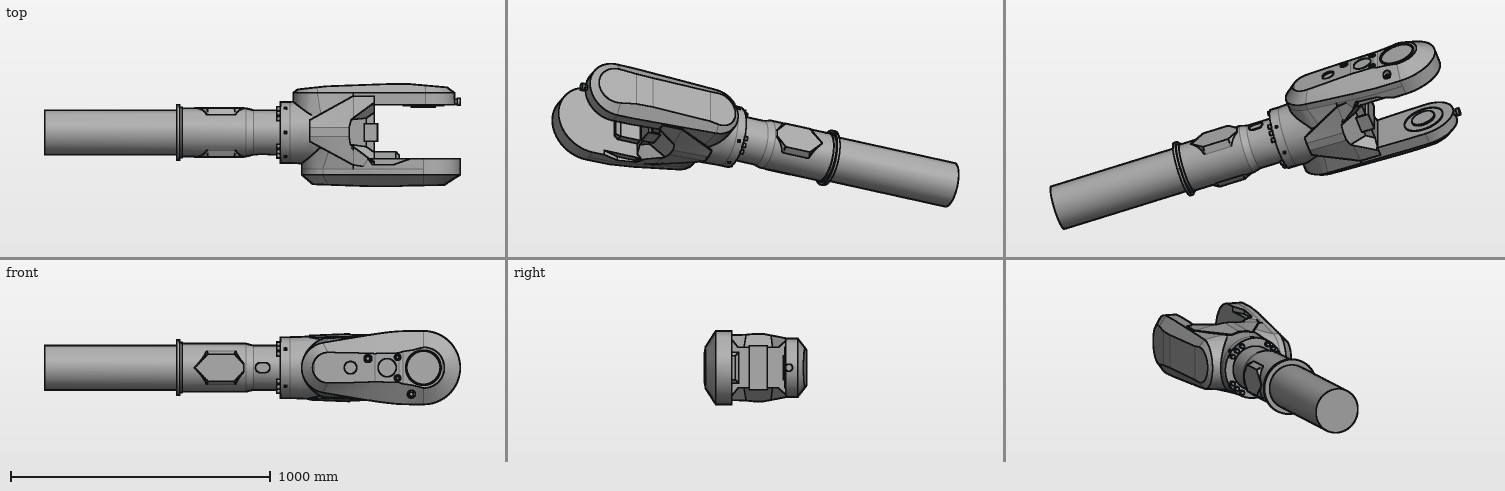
import cadquery as cq
import math


LENGTH = 1599.5
BIG_ARM_OUTER_Y = -208
SMALL_ARM_OUTER_Y = 187

TUBE_R = 86.3
COLLAR_X = 508
COLLAR_T = 11
COLLAR_R = 107
SLEEVE_STEP_T = 10
SLEEVE_STEP_R = 97
SLEEVE_R = 93.5
SLEEVE_END_X = 774
NECK_X = 802
NECK_R = TUBE_R

PAD_FACE_Y = 94.5
PAD_ROOT_Y = 60
PAD_HALF_H = 52
PAD_LEFT_X = 577
PAD_SHOULDER_LEFT_X = 628
PAD_SHOULDER_RIGHT_X = 730
PAD_RIGHT_X = 766
PAD_BLUNT_HALF_H = 14
PAD_TAPER = 25

OVAL_X = 839
OVAL_LENGTH = 56
OVAL_WIDTH = 38
OVAL_FLOOR_Y = 81

FLANGE_X = 907
FLANGE_T = 36
FLANGE_R = 118
BOLT_CIRCLE_R = 105
BOLT_R = 8
BOLT_HEAD_T = 14
BOLT_PITCH_ANGLE = 15
PIN_HOLE_X = 927
PIN_HOLE_R = 5
PIN_HOLE_DEPTH = 12
PIN_SIDE_ANGLE = 37.5

BARREL_END_X = 1080
BARREL_END_R = 124
RIDGE_Y_LOW = -15
RIDGE_Y_HIGH = 20
RIDGE_END_X = 1187
WEB_END_X = 1269
RIDGE_SECTIONS = [
    (1021, 124, (48, 114), (-35, 117)),
    (RIDGE_END_X, 131, (140, 106), (-125, 120)),
    (WEB_END_X, 131, (140, 107), (-137, 125)),
]

SCOOP_OPEN_X = 1166
SCOOP_FLOOR_X = 1238
SCOOP_OPEN_Z = 135
SCOOP_FLOOR_Z = 78
SCOOP_BACK_Y = (-45, 48)
SCOOP_FRONT_Y = (-125, 142)
SCOOP_FLOOR_HALF_W = 55
WEB_FACE_HALF_W = 78

STOP_END_X = 1281
STOP_START_X = 1230
STOP_WIDTH = 68
STOP_HALF_H = 84

BIG_R = 142
JOINT_X = LENGTH - BIG_R
BIG_HEEL_X = 1086
BIG_HEEL_R = 97
BIG_CORNER = (1335, BIG_R)
BIG_INNER_Y = -101
BIG_RIM_Y = -163
BIG_HEEL_RIM_Y = -139
BIG_SLOPE_TOP_Y = BIG_ARM_OUTER_Y - 1
BIG_FACE_HEEL_X = 1094
BIG_FACE_HEEL_R = 52
BIG_FACE_CORNER = (1400, 53)
BIG_FACE_R = 71
BIG_CROWN_PLAN = [
    (BIG_HEEL_X - BIG_HEEL_R, BIG_RIM_Y),
    (BIG_HEEL_X - BIG_HEEL_R, -194),
    (1038, -200),
    (1270, BIG_ARM_OUTER_Y),
    (1362, BIG_ARM_OUTER_Y),
    (1378, -205.5),
    (1530, -203),
    (LENGTH, -200),
    (LENGTH, BIG_RIM_Y),
]

SMALL_R = 113
SMALL_END_X = 1578
SMALL_CENTRE_X = SMALL_END_X - SMALL_R
SMALL_HEEL_X = 1053
SMALL_HEEL_R = 97
SMALL_CORNER = (1400, SMALL_R)
SMALL_INNER_Y = 106
SMALL_RIM_Y = 152
SMALL_SLOPE_TOP_Y = SMALL_ARM_OUTER_Y + 1
SMALL_FACE_HEEL_R = 52
SMALL_FACE_R = 66
SMALL_FACE_CORNER = (1400, SMALL_FACE_R)
SMALL_CROWN_PLAN = [
    (SMALL_HEEL_X - SMALL_HEEL_R, SMALL_RIM_Y),
    (SMALL_HEEL_X - SMALL_HEEL_R, 164),
    (1084, 178),
    (1330, SMALL_ARM_OUTER_Y),
    (1400, SMALL_ARM_OUTER_Y),
    (1558, 173),
    (SMALL_END_X, 171),
    (SMALL_END_X, SMALL_RIM_Y),
]

HEEL_ROOT_Y = 60
BIG_HEEL_GROWTH = 21
SMALL_HEEL_GROWTH = 12

RELIEF_PLAN = [(1244, BIG_INNER_Y), (1262, -124), (1343, -124), (1408, BIG_INNER_Y)]
RELIEF_Z = 122

FACE_HOLE = (1177, 0, 24)
FACE_HOLE_FLOOR_Y = -198
COVER_DISC = (1318, 0, 35)
COVER_DISC_FLOOR_Y = BIG_ARM_OUTER_Y + 1.5
CAP_DISC = (JOINT_X, 0, 68)
GROOVE_W = 4
GROOVE_FLOOR_Y = -202
FACE_SCREWS = [(1244, 35, 15), (1358, 40, 12), (1358, -40, 12)]
FACE_SCREW_FLOOR_Y = -198
SLOPE_SCREW = (1411, -102, 15)
SLOPE_SCREW_FLOOR_Y = -176
SCREW_HEAD_H = 5
SCREW_HEAD_RATIO = 0.55

SEAT_R = 78
SEAT_T = 3
JOURNAL_R = 46
JOURNAL_T = 9

PLUG_Y = 118
PLUG_NECK_R = 10
PLUG_HEAD_R = 14
PLUG_HEAD_X = 1588

BRACKET_END_X = 1365
BRACKET_Y = -74
BRACKET_HALF_H = 60
BRACKET_CHAMFER = 14


def disc(x, radius, thickness):
    """Cylinder along +X, starting at x, on the tube axis."""
    return cq.Workplane("YZ", origin=(x, 0, 0)).circle(radius).extrude(thickness)


def cylinder_y(x, z, radius, y_from, y_to):
    """Cylinder parallel to Y between two Y positions."""
    plane = cq.Plane(origin=(x, y_from, z), xDir=(1, 0, 0), normal=(0, -1, 0))
    return cq.Workplane(plane).circle(radius).extrude(y_from - y_to)


def box(x_range, y_range, z_range):
    """Block given by its limits along X, Y and Z."""
    size = [limits[1] - limits[0] for limits in (x_range, y_range, z_range)]
    corner = (x_range[0], y_range[0], z_range[0])
    return cq.Workplane("XY").box(*size, centered=False).translate(corner)


def pear_wire(y, heel_x, heel_r, corner, end_x, end_r):
    """Pear outline in the plane Y = y.

    A round heel runs tangent into sides that head for the corner (X, Z) and bend there
    to meet the round end.
    """
    corner_x, corner_z = corner
    reach = math.hypot(corner_x - heel_x, corner_z)
    tangent_angle = math.atan2(corner_z, corner_x - heel_x) + math.acos(heel_r / reach)
    tangent_x = heel_x + heel_r * math.cos(tangent_angle)
    tangent_z = heel_r * math.sin(tangent_angle)
    upper_side = [(tangent_x, tangent_z), corner, corner, (end_x, end_r)]
    lower_side = [(x, -z) for x, z in reversed(upper_side)]
    return (
        cq.Workplane("XZ", origin=(0, y, 0))
        .moveTo(tangent_x, -tangent_z)
        .threePointArc((heel_x - heel_r, 0), (tangent_x, tangent_z))
        .bezier(upper_side)
        .threePointArc((end_x + end_r, 0), (end_x, -end_r))
        .bezier(lower_side)
        .wire()
        .val()
    )


def prism(wire, y_travel):
    """Sweep a wire lying in a plane of constant Y along Y."""
    return cq.Workplane(cq.Solid.extrudeLinear(wire, [], cq.Vector(0, y_travel, 0)))


def crown(rim_wire, face_wire, plan_points):
    """Sloping cover between two outlines, trimmed to an outline drawn in the XY plane."""
    slopes = cq.Workplane(cq.Solid.makeLoft([rim_wire, face_wire], True))
    trim = cq.Workplane("XY").polyline(plan_points).close().extrude(BIG_R, both=True)
    return slopes.intersect(trim)


def drafted_heel(rim_wire, root_wire):
    """Heel between an arm's rim and its larger root, kept to the hub end of the arm."""
    heel = cq.Workplane(cq.Solid.makeLoft([rim_wire, root_wire], True))
    return heel.intersect(box((0, RIDGE_END_X), (-LENGTH, LENGTH), (-LENGTH, LENGTH)))


def make_tube():
    tube = disc(0, TUBE_R, COLLAR_X)
    tube = tube.union(disc(COLLAR_X, COLLAR_R, COLLAR_T))
    step_x = COLLAR_X + COLLAR_T
    tube = tube.union(disc(step_x, SLEEVE_STEP_R, SLEEVE_STEP_T))
    tube = tube.union(disc(step_x, SLEEVE_R, SLEEVE_END_X - step_x))
    shoulder = (
        cq.Workplane("YZ", origin=(SLEEVE_END_X, 0, 0))
        .circle(SLEEVE_R)
        .workplane(offset=NECK_X - SLEEVE_END_X)
        .circle(NECK_R)
        .loft()
    )
    return tube.union(shoulder).union(disc(NECK_X, NECK_R, FLANGE_X - NECK_X))


def make_pad():
    """Hexagonal pad on the -Y side whose walls spread towards the sleeve."""
    plane = cq.Workplane("XZ", origin=(0, -PAD_FACE_Y, 0))
    outline = plane.polyline([
        (PAD_LEFT_X, 0),
        (PAD_SHOULDER_LEFT_X, PAD_HALF_H),
        (PAD_SHOULDER_RIGHT_X, PAD_HALF_H),
        (PAD_RIGHT_X, PAD_BLUNT_HALF_H),
        (PAD_RIGHT_X, -PAD_BLUNT_HALF_H),
        (PAD_SHOULDER_RIGHT_X, -PAD_HALF_H),
        (PAD_SHOULDER_LEFT_X, -PAD_HALF_H),
    ]).close()
    return outline.extrude(PAD_ROOT_Y - PAD_FACE_Y, taper=-PAD_TAPER)


def make_oval_pocket():
    return (
        cq.Workplane("XZ", origin=(OVAL_X, -OVAL_FLOOR_Y, 0))
        .slot2D(OVAL_LENGTH, OVAL_WIDTH)
        .extrude(NECK_R)
    )


def make_flange():
    flange = disc(FLANGE_X, FLANGE_R, FLANGE_T)
    for group_angle in (45, 135, 225, 315):
        for step in (-1, 0, 1):
            angle = math.radians(group_angle + step * BOLT_PITCH_ANGLE)
            centre = (0, BOLT_CIRCLE_R * math.cos(angle), BOLT_CIRCLE_R * math.sin(angle))
            bolt = disc(FLANGE_X - BOLT_HEAD_T, BOLT_R, BOLT_HEAD_T + FLANGE_T / 2)
            flange = flange.union(bolt.translate(centre))
    side = PIN_SIDE_ANGLE
    for angle in (90, -90, side, -side, 180 - side, 180 + side):
        pin_hole = (
            cq.Workplane("XZ", origin=(PIN_HOLE_X, -FLANGE_R + PIN_HOLE_DEPTH, 0))
            .circle(PIN_HOLE_R)
            .extrude(FLANGE_R)
            .rotate((0, 0, 0), (1, 0, 0), angle)
        )
        flange = flange.cut(pin_hole)
    return flange


def ridge_wire(x, ridge_z, high_corner, low_corner):
    """Eight sided section of the hub: a flat ridge above and below, sloping to the sides."""
    upper = [high_corner, (RIDGE_Y_HIGH, ridge_z), (RIDGE_Y_LOW, ridge_z), low_corner]
    lower = [(y, -z) for y, z in reversed(upper)]
    return cq.Workplane("YZ", origin=(x, 0, 0)).polyline(upper + lower).close().wire().val()


def make_scoop():
    """Tool that lowers the upper side of the web, wider at the top and towards +X."""
    front_x = WEB_END_X + 1
    opening = [
        (SCOOP_OPEN_X, SCOOP_BACK_Y[0]),
        (SCOOP_OPEN_X, SCOOP_BACK_Y[1]),
        (front_x, SCOOP_FRONT_Y[1]),
        (front_x, SCOOP_FRONT_Y[0]),
    ]
    floor = [
        (SCOOP_FLOOR_X, -SCOOP_FLOOR_HALF_W),
        (SCOOP_FLOOR_X, SCOOP_FLOOR_HALF_W),
        (front_x, WEB_FACE_HALF_W),
        (front_x, -WEB_FACE_HALF_W),
    ]
    return (
        cq.Workplane("XY", origin=(0, 0, SCOOP_FLOOR_Z))
        .polyline(floor)
        .close()
        .workplane(offset=SCOOP_OPEN_Z - SCOOP_FLOOR_Z)
        .polyline(opening)
        .close()
        .loft(ruled=True)
    )


def make_hub():
    barrel_x = FLANGE_X + FLANGE_T
    barrel = (
        cq.Workplane("YZ", origin=(barrel_x, 0, 0))
        .circle(FLANGE_R)
        .workplane(offset=BARREL_END_X - barrel_x)
        .circle(BARREL_END_R)
        .loft()
    )
    wires = [ridge_wire(*section) for section in RIDGE_SECTIONS]
    ridge = cq.Workplane(cq.Solid.makeLoft(wires, True))
    scoop = make_scoop()
    stop = box(
        (STOP_START_X, STOP_END_X),
        (-STOP_WIDTH / 2, STOP_WIDTH / 2),
        (-STOP_HALF_H, STOP_HALF_H),
    )
    return barrel.union(ridge).cut(scoop).cut(scoop.mirror("XY")).union(stop)


def make_big_arm():
    end = (BIG_CORNER, JOINT_X, BIG_R)
    growth = BIG_HEEL_GROWTH
    rim = pear_wire(BIG_RIM_Y, BIG_HEEL_X, BIG_HEEL_R, *end)
    face = pear_wire(
        BIG_SLOPE_TOP_Y, BIG_FACE_HEEL_X, BIG_FACE_HEEL_R, BIG_FACE_CORNER, JOINT_X, BIG_FACE_R
    )
    heel_rim = pear_wire(BIG_HEEL_RIM_Y, BIG_HEEL_X, BIG_HEEL_R, *end)
    heel_root = pear_wire(-HEEL_ROOT_Y, BIG_HEEL_X + growth, BIG_HEEL_R + growth, *end)
    band = prism(rim, BIG_HEEL_RIM_Y - BIG_RIM_Y)
    arm = prism(heel_rim, BIG_INNER_Y - BIG_HEEL_RIM_Y)
    relief = cq.Workplane("XY", origin=(0, 0, RELIEF_Z)).polyline(RELIEF_PLAN).close().extrude(BIG_R)
    arm = arm.cut(relief).cut(relief.mirror("XY")).union(band)
    return arm.union(drafted_heel(heel_rim, heel_root)).union(crown(rim, face, BIG_CROWN_PLAN))


def make_small_arm():
    end = (SMALL_CORNER, SMALL_CENTRE_X, SMALL_R)
    growth = SMALL_HEEL_GROWTH
    rim = pear_wire(SMALL_RIM_Y, SMALL_HEEL_X, SMALL_HEEL_R, *end)
    face = pear_wire(
        SMALL_SLOPE_TOP_Y,
        SMALL_HEEL_X,
        SMALL_FACE_HEEL_R,
        SMALL_FACE_CORNER,
        SMALL_CENTRE_X,
        SMALL_FACE_R,
    )
    heel_root = pear_wire(HEEL_ROOT_Y, SMALL_HEEL_X + growth, SMALL_HEEL_R + growth, *end)
    arm = prism(rim, SMALL_INNER_Y - SMALL_RIM_Y)
    arm = arm.union(drafted_heel(rim, heel_root)).union(crown(rim, face, SMALL_CROWN_PLAN))
    arm = arm.union(cylinder_y(JOINT_X, 0, SEAT_R, SMALL_INNER_Y, SMALL_INNER_Y - SEAT_T))
    arm = arm.union(cylinder_y(JOINT_X, 0, JOURNAL_R, SMALL_INNER_Y, SMALL_INNER_Y - JOURNAL_T))
    plug = disc(JOINT_X, PLUG_NECK_R, LENGTH - JOINT_X)
    plug = plug.union(disc(PLUG_HEAD_X, PLUG_HEAD_R, LENGTH - PLUG_HEAD_X))
    return arm.union(plug.translate((0, PLUG_Y, 0)))


def make_bracket():
    """Stop bracket on the inner face of the big arm, next to the web."""
    return box(
        (SCOOP_FLOOR_X, BRACKET_END_X), (BIG_INNER_Y, BRACKET_Y), (-BRACKET_HALF_H, BRACKET_HALF_H)
    ).faces(">X").edges("not(<Y)").chamfer(BRACKET_CHAMFER)


def outer_recess(x, z, radius, floor_y):
    """Round recess cut into the big arm from its outer side down to floor_y."""
    return cylinder_y(x, z, radius, floor_y, BIG_ARM_OUTER_Y - 1)


def ring_groove(x, z, radius):
    """Narrow ring sunk into the big arm's outer face."""
    ring = outer_recess(x, z, radius, GROOVE_FLOOR_Y)
    return ring.cut(outer_recess(x, z, radius - GROOVE_W, GROOVE_FLOOR_Y))


def add_recessed_screw(part, screw, floor_y):
    """Sink a round recess and stand a smaller screw head on its floor."""
    x, z, radius = screw
    head = cylinder_y(x, z, radius * SCREW_HEAD_RATIO, floor_y, floor_y - SCREW_HEAD_H)
    return part.cut(outer_recess(x, z, radius, floor_y)).union(head)


def add_face_details(part):
    part = part.cut(outer_recess(*FACE_HOLE, FACE_HOLE_FLOOR_Y))
    part = part.cut(outer_recess(*COVER_DISC, COVER_DISC_FLOOR_Y))
    part = part.cut(ring_groove(*CAP_DISC))
    for screw in FACE_SCREWS:
        part = add_recessed_screw(part, screw, FACE_SCREW_FLOOR_Y)
    return add_recessed_screw(part, SLOPE_SCREW, SLOPE_SCREW_FLOOR_Y)


result = make_tube()
pad = make_pad()
result = result.union(pad).union(pad.mirror("XZ")).cut(make_oval_pocket())
result = result.union(make_flange()).union(make_hub())
result = result.union(make_big_arm()).union(make_small_arm()).union(make_bracket())
result = add_face_details(result)